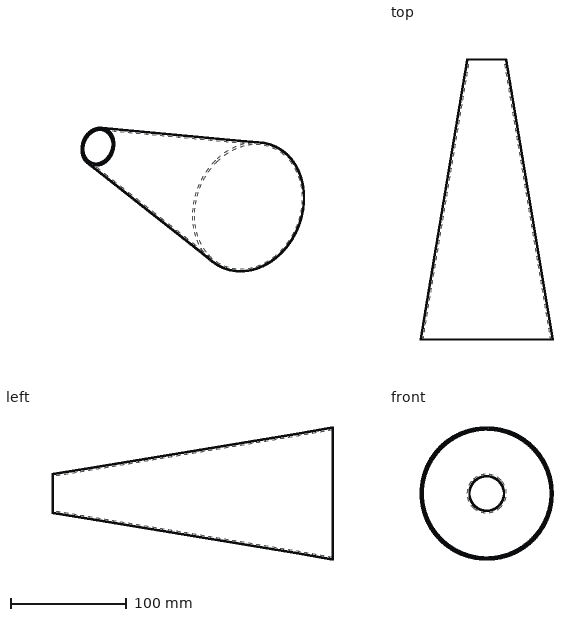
import cadquery as cq

length = 242.0
wide_diameter = 114.3
narrow_diameter = 33.7
wall = 2.0

wide_radius = wide_diameter / 2
narrow_radius = narrow_diameter / 2


def reducer_shell():
    """Revolve the sloping wall section about the Y axis."""
    wall_section = [
        (wide_radius - wall, 0),
        (wide_radius, 0),
        (narrow_radius, length),
        (narrow_radius - wall, length),
    ]
    return cq.Workplane("XY").polyline(wall_section).close().revolve(360, (0, 0, 0), (0, 1, 0))


result = reducer_shell()